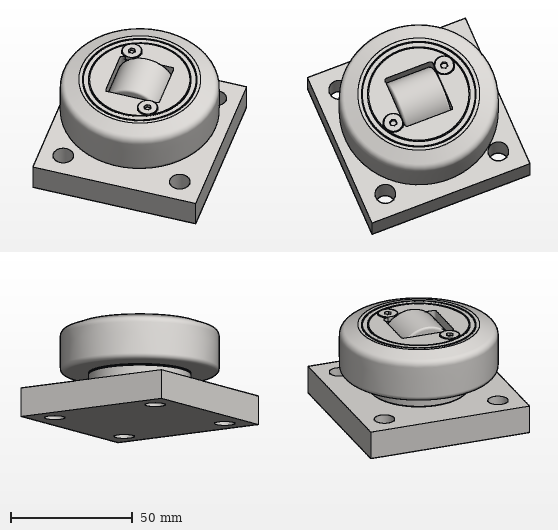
import cadquery as cq
import math

plate_side = 70.0
plate_height = 12.0
mount_spacing = 50.05
mount_hole_dia = 8.4

collar_radius = 42.1 / 2
collar_chamfer = 0.5
collar_top = 19.6
lip_height = 0.2

ring_radius = 32.7
ring_bottom = collar_top + lip_height
ring_top = 39.8
ring_crown = 0.1
lower_fillet = 2.0
upper_fillet = 3.0
cone_angle = math.radians(19.5)
cone_top_radius = 25.0
cone_foot_radius = ring_radius - ring_crown - upper_fillet * (1 - math.sin(cone_angle))
cone_foot_height = ring_top - (cone_foot_radius - cone_top_radius) * math.tan(cone_angle)
wall_bottom = ring_bottom + lower_fillet
wall_top = cone_foot_height - upper_fillet * math.cos(cone_angle)

seal_groove_radius = 47.0 / 2
seal_groove_width = 0.35
seal_groove_depth = 0.5

roller_top = 42.5
roller_radius = 12.45
roller_length = 20.15
roller_fillet = 1.0
window_x = 23.1
window_y = 21.1
window_corner = 1.0
window_floor = roller_top - roller_radius

screw_x = 7.9
screw_y = 14.5
screw_head_radius = 3.9
screw_head_height = 2.1
screw_stand_out = 0.35
screw_top = ring_top + screw_stand_out
screw_seat = screw_top - screw_head_height
screw_pocket_radius = 4.2
hex_corner_dia = 3.0
hex_depth = 1.4


def make_plate():
    return (
        cq.Workplane("XY")
        .rect(plate_side, plate_side)
        .extrude(plate_height)
        .faces(">Z")
        .workplane()
        .rect(mount_spacing, mount_spacing, forConstruction=True)
        .vertices()
        .hole(mount_hole_dia)
    )


def make_collar():
    collar = (
        cq.Workplane("XY", origin=(0, 0, plate_height))
        .circle(collar_radius)
        .extrude(collar_top - plate_height)
        .edges()
        .chamfer(collar_chamfer)
    )
    lip = cq.Workplane("XY", origin=(0, 0, collar_top)).circle(collar_radius).extrude(lip_height)
    return collar.union(lip)


def make_ring():
    """Solid ring body: crowned rolling face, rounded edges and a conical shoulder."""
    wall_radius = ring_radius - ring_crown
    lower_center = wall_radius - lower_fillet
    wall_middle = (wall_bottom + wall_top) / 2
    return (
        cq.Workplane("XZ")
        .moveTo(0, ring_bottom)
        .lineTo(lower_center, ring_bottom)
        .radiusArc((wall_radius, wall_bottom), -lower_fillet)
        .threePointArc((ring_radius, wall_middle), (wall_radius, wall_top))
        .radiusArc((cone_foot_radius, cone_foot_height), -upper_fillet)
        .lineTo(cone_top_radius, ring_top)
        .lineTo(0, ring_top)
        .close()
        .revolve(360, (0, 0, 0), (0, 1, 0))
    )


def make_seal_groove():
    return (
        cq.Workplane("XY", origin=(0, 0, ring_top))
        .circle(seal_groove_radius)
        .circle(seal_groove_radius - seal_groove_width)
        .extrude(-seal_groove_depth)
    )


def make_spindle_groove():
    """Groove with a vertical outer wall, left by the chamfered rim of the spindle."""
    return (
        cq.Workplane("XZ")
        .moveTo(collar_radius, ring_top)
        .lineTo(collar_radius, ring_top - collar_chamfer)
        .lineTo(collar_radius - collar_chamfer, ring_top)
        .close()
        .revolve(360, (0, 0, 0), (0, 1, 0))
    )


def make_window():
    return (
        cq.Workplane("XY", origin=(0, 0, window_floor))
        .rect(window_x, window_y)
        .extrude(roller_top - window_floor)
        .edges("|Z")
        .fillet(window_corner)
    )


def make_roller():
    """Upper half of the roller, its axis lying in the window floor along Y."""
    roller = (
        cq.Workplane("XZ", origin=(0, roller_length / 2, window_floor))
        .circle(roller_radius)
        .extrude(roller_length)
        .edges()
        .fillet(roller_fillet)
    )
    upper_half = cq.Workplane("XY", origin=(0, 0, window_floor)).box(
        2 * roller_radius, roller_length, roller_radius, centered=(True, True, False)
    )
    return roller.intersect(upper_half)


def make_screw_pocket(x, y):
    return (
        cq.Workplane("XY", origin=(x, y, screw_seat))
        .circle(screw_pocket_radius)
        .extrude(screw_head_height)
    )


def make_screw(x, y):
    return (
        cq.Workplane("XY", origin=(x, y, screw_seat))
        .circle(screw_head_radius)
        .extrude(screw_head_height)
        .faces(">Z")
        .workplane()
        .polygon(6, hex_corner_dia)
        .cutBlind(-hex_depth)
    )


body = make_plate().union(make_collar()).union(make_ring())
body = body.cut(make_seal_groove()).cut(make_spindle_groove()).cut(make_window())
screw_places = [(-screw_x, screw_y), (screw_x, -screw_y)]
for x, y in screw_places:
    body = body.cut(make_screw_pocket(x, y)).union(make_screw(x, y))

result = body.union(make_roller())